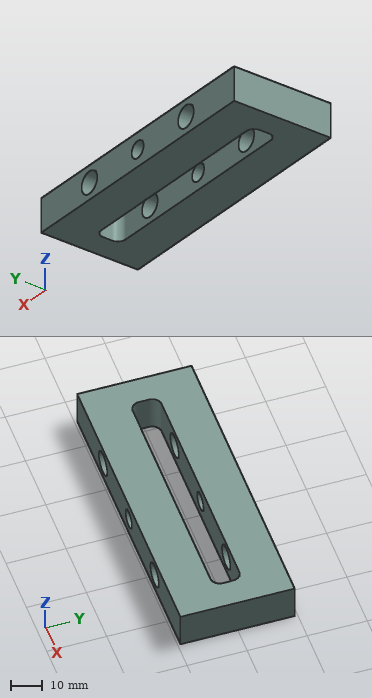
import cadquery as cq

length = 101.6
width = 38.1
height = 12.7

end_wall = 9.5
slot_length = length - 2 * end_wall
slot_width = 9.5
slot_corner_radius = 3.0

center_hole_diameter = 6.3
outer_hole_diameter = 8.2
outer_hole_spacing = length / 2


def cross_hole(x, diameter):
    """Cylinder along Y, spanning the full width of the block."""
    return (
        cq.Workplane("XZ")
        .center(x, 0)
        .circle(diameter / 2)
        .extrude(width / 2, both=True)
    )


block = cq.Workplane("XY").box(length, width, height)

slot = (
    cq.Workplane("XY")
    .box(slot_length, slot_width, height)
    .edges("|Z")
    .fillet(slot_corner_radius)
)

result = block.cut(slot)
result = result.cut(cross_hole(0, center_hole_diameter))
for side in (-1, 1):
    result = result.cut(cross_hole(side * outer_hole_spacing / 2, outer_hole_diameter))